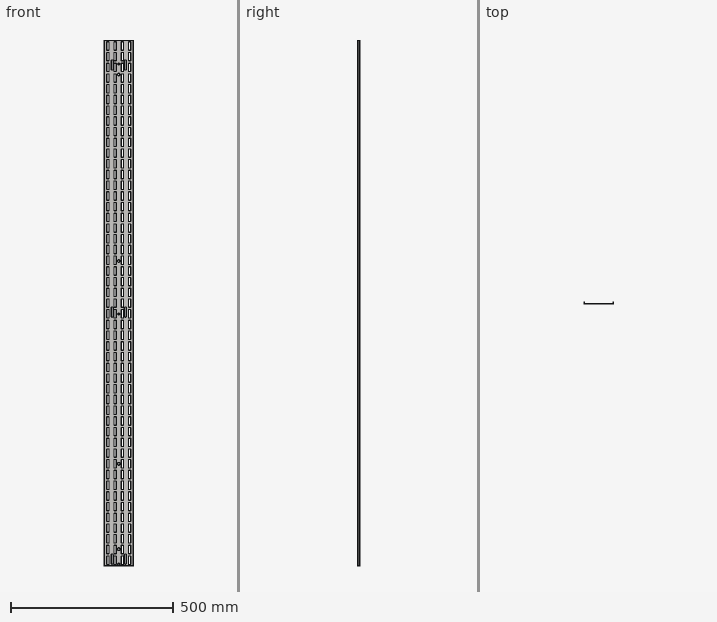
import cadquery as cq

LENGTH = 1619.0
WIDTH = 90.0
DEPTH = 6.6
SHEET = 1.5
BEND_RADIUS = 2.0

SLOT_COLUMNS = 4
SLOTS_PER_COLUMN = 49
INNER_COLUMN_OFFSET = 11.2
COLUMN_SPACING = 2 * INNER_COLUMN_OFFSET
SLOT_WIDTH = 6.0
SLOT_GAP = 8.0
END_MARGIN = 5.0
SLOT_PITCH = (LENGTH - 2 * END_MARGIN + SLOT_GAP) / SLOTS_PER_COLUMN
SLOT_LENGTH = SLOT_PITCH - SLOT_GAP

STATION_COUNT = 3
MOUNT_SLOT_SPACING = 40.0
MOUNT_SLOT_LENGTH = 30.0
MOUNT_SLOT_WIDTH = 5.5
LOWEST_MOUNT_SLOT = 21.0
MOUNT_SLOT_PITCH = 761.0
SMALL_HOLE_DIAMETER = 5.0
LOWEST_SMALL_HOLE = 5.0
SMALL_HOLE_PITCH = 770.0

LARGE_HOLE_DIAMETER = 7.5
LARGE_HOLE_HEIGHTS = (52.0, 314.0, 939.0, 1514.0)

FRONT = -DEPTH / 2
BOTTOM = -LENGTH / 2
UPRIGHT = 90


def folded_strip():
    """Shallow U channel, its web in front and its two flanges pointing to +Y."""
    body = cq.Workplane("XY").box(WIDTH, DEPTH, LENGTH)
    body = body.edges("|Z and <Y").fillet(BEND_RADIUS)
    hollow = (
        cq.Workplane("XY")
        .box(WIDTH - 2 * SHEET, DEPTH, LENGTH)
        .edges("|Z and <Y")
        .fillet(BEND_RADIUS - SHEET)
        .translate((0, SHEET, 0))
    )
    return body.cut(hollow)


def front_workplane(points):
    """Workplane on the front of the web, holding points given as (x, z)."""
    return cq.Workplane("XZ", origin=(0, FRONT, 0)).pushPoints(points)


def station_heights(lowest, pitch):
    return [BOTTOM + lowest + i * pitch for i in range(STATION_COUNT)]


def slot_grid():
    columns = [(i - (SLOT_COLUMNS - 1) / 2) * COLUMN_SPACING for i in range(SLOT_COLUMNS)]
    rows = [(i - (SLOTS_PER_COLUMN - 1) / 2) * SLOT_PITCH for i in range(SLOTS_PER_COLUMN)]
    points = [(x, z) for x in columns for z in rows]
    return front_workplane(points).rect(SLOT_WIDTH, SLOT_LENGTH).extrude(-SHEET)


def mounting_slots():
    heights = station_heights(LOWEST_MOUNT_SLOT, MOUNT_SLOT_PITCH)
    points = [(side * MOUNT_SLOT_SPACING / 2, z) for side in (-1, 1) for z in heights]
    return front_workplane(points).slot2D(MOUNT_SLOT_LENGTH, MOUNT_SLOT_WIDTH, UPRIGHT).extrude(-SHEET)


def centre_holes(heights, diameter):
    return front_workplane([(0, z) for z in heights]).circle(diameter / 2).extrude(-SHEET)


small_hole_heights = station_heights(LOWEST_SMALL_HOLE, SMALL_HOLE_PITCH)
large_hole_heights = [BOTTOM + height for height in LARGE_HOLE_HEIGHTS]

result = (
    folded_strip()
    .cut(slot_grid())
    .cut(mounting_slots())
    .cut(centre_holes(small_hole_heights, SMALL_HOLE_DIAMETER))
    .cut(centre_holes(large_hole_heights, LARGE_HOLE_DIAMETER))
)